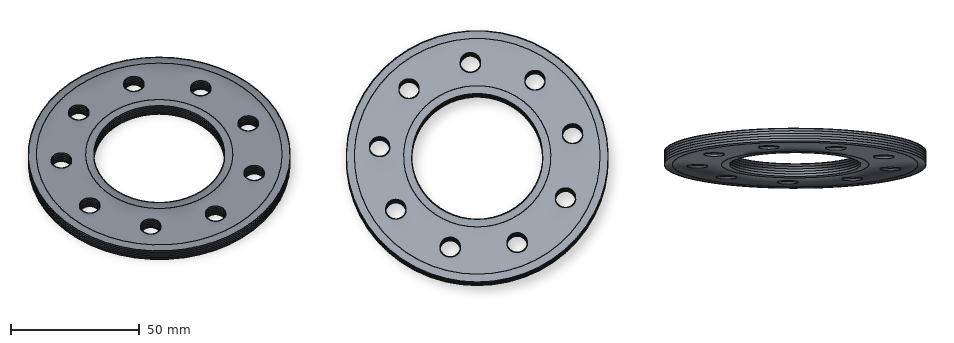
import cadquery as cq

OUTER_DIAMETER = 101.6
BORE_DIAMETER = 50.8

LAYER_COUNT = 5
LAYER_THICKNESS = 1.0

FACING_OUTER_DIAMETER = 95.3
FACING_INNER_DIAMETER = 57.1

HOLE_COUNT = 9
HOLE_DIAMETER = 7.9
BOLT_CIRCLE_RADIUS = OUTER_DIAMETER * 3 / 8
FIRST_HOLE_ANGLE = 90.0


def annulus(outer_diameter, inner_diameter, layer):
    """Flat ring filling the thickness of one layer."""
    return (
        cq.Workplane("XY")
        .workplane(offset=layer * LAYER_THICKNESS)
        .circle(outer_diameter / 2)
        .circle(inner_diameter / 2)
        .extrude(LAYER_THICKNESS)
    )


def drill_bolt_holes(ring):
    """Cut the circle of bolt holes through a ring."""
    return (
        ring.faces(">Z")
        .workplane(origin=(0, 0, 0))
        .polarArray(BOLT_CIRCLE_RADIUS, FIRST_HOLE_ANGLE, 360, HOLE_COUNT)
        .hole(HOLE_DIAMETER)
    )


def make_core_plate(layer):
    """Full-width drilled plate."""
    return drill_bolt_holes(annulus(OUTER_DIAMETER, BORE_DIAMETER, layer))


def make_facing(layer):
    """Drilled ring held between the two rim rings."""
    return drill_bolt_holes(annulus(FACING_OUTER_DIAMETER, FACING_INNER_DIAMETER, layer))


def make_outer_rim(layer):
    """Narrow ring around the outside of the facing."""
    return annulus(OUTER_DIAMETER, FACING_OUTER_DIAMETER, layer)


def make_inner_rim(layer):
    """Narrow ring between the facing and the bore."""
    return annulus(FACING_INNER_DIAMETER, BORE_DIAMETER, layer)


core_layers = range(1, LAYER_COUNT - 1)
faced_layers = (0, LAYER_COUNT - 1)

core_plates = [make_core_plate(layer).val() for layer in core_layers]
facings = [make_facing(layer).val() for layer in faced_layers]
outer_rims = [make_outer_rim(layer).val() for layer in faced_layers]
inner_rims = [make_inner_rim(layer).val() for layer in faced_layers]

result = cq.Compound.makeCompound([*core_plates, *facings, *outer_rims, *inner_rims])